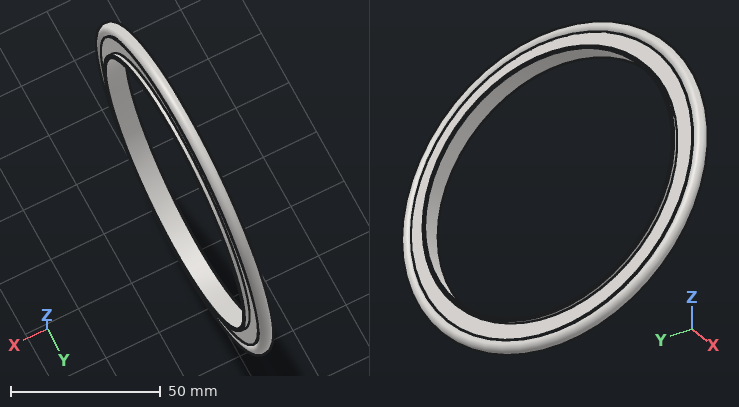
import cadquery as cq

bore_diameter = 100.0
sleeve_diameter = 102.0
sleeve_width = 8.0
rim_chamfer = 0.2
web_diameter = 114.0
web_width = 4.0

seal_outer_diameter = 123.0
seal_section_diameter = 5.0
seal_section_radius = seal_section_diameter / 2
seal_center_radius = seal_outer_diameter / 2 - seal_section_radius


def flat_ring(outer_diameter, inner_diameter, width):
    """Ring around the X axis, centred on the origin."""
    return (
        cq.Workplane("YZ")
        .workplane(offset=-width / 2)
        .circle(outer_diameter / 2)
        .circle(inner_diameter / 2)
        .extrude(width)
    )


def make_seal():
    """Torus around the X axis."""
    return (
        cq.Workplane("XY")
        .center(0, seal_center_radius)
        .circle(seal_section_radius)
        .revolve(360, (0, -seal_center_radius, 0), (1, -seal_center_radius, 0))
    )


def make_centering_ring(seal):
    """Sleeve with chamfered end rims, and a web whose rounded rim groove fits the seal."""
    sleeve = flat_ring(sleeve_diameter, bore_diameter, sleeve_width)
    sleeve = sleeve.faces("<X or >X").edges().chamfer(rim_chamfer)
    web = flat_ring(web_diameter, sleeve_diameter, web_width)
    return sleeve.union(web).cut(seal)


seal = make_seal()
centering_ring = make_centering_ring(seal)

result = cq.Compound.makeCompound([centering_ring.val(), seal.val()])